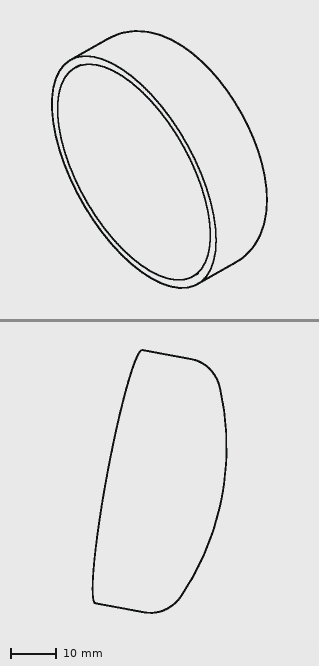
import cadquery as cq
import math

outer_diameter = 57.0
inner_diameter = 53.0
skirt_depth = 11.0

inner_crown_radius = outer_diameter
inner_knuckle_radius = outer_diameter / 10

outer_radius = outer_diameter / 2
inner_radius = inner_diameter / 2
wall = outer_radius - inner_radius

knuckle_center_x = inner_radius - inner_knuckle_radius
center_distance = inner_crown_radius - inner_knuckle_radius
crown_half_angle = math.asin(knuckle_center_x / center_distance)
crown_center_y = skirt_depth - center_distance * math.cos(crown_half_angle)


def arc_point(center_x, center_y, radius, angle):
    """Point on an arc, with the angle measured from the cap axis."""
    return (
        center_x + radius * math.sin(angle),
        center_y + radius * math.cos(angle),
    )


def solid_cap(offset):
    """Solid cap whose surface lies the given offset outside the inner one."""
    skirt_radius = inner_radius + offset
    knuckle_radius = inner_knuckle_radius + offset
    crown_radius = inner_crown_radius + offset
    knuckle_middle_angle = (crown_half_angle + math.pi / 2) / 2
    half_section = (
        cq.Workplane("XY")
        .lineTo(skirt_radius, 0)
        .lineTo(skirt_radius, skirt_depth)
        .threePointArc(
            arc_point(knuckle_center_x, skirt_depth, knuckle_radius, knuckle_middle_angle),
            arc_point(knuckle_center_x, skirt_depth, knuckle_radius, crown_half_angle),
        )
        .threePointArc(
            arc_point(0, crown_center_y, crown_radius, crown_half_angle / 2),
            (0, crown_center_y + crown_radius),
        )
        .close()
    )
    return half_section.revolve(360, (0, 0, 0), (0, 1, 0))


result = solid_cap(wall).cut(solid_cap(0))